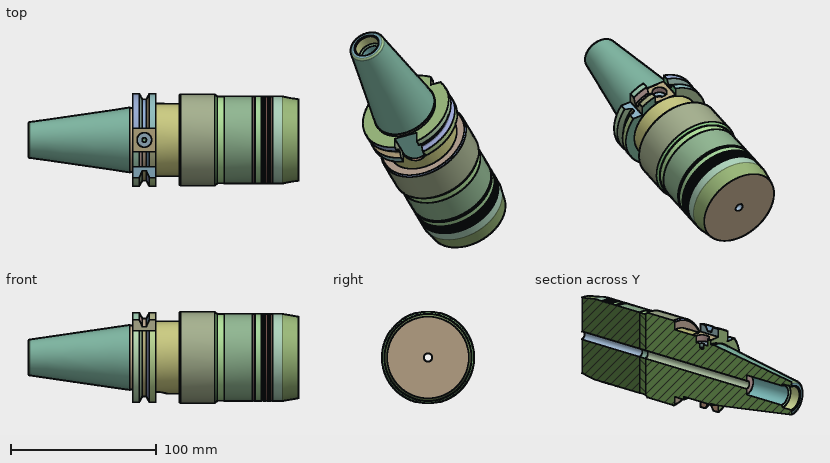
import cadquery as cq
import math


gauge_radius = 44.45 / 2
taper_slope = 7 / 48
taper_start = -68.4
taper_end = 1.0
relief_radius = 22.0
tip_round_radius = 1.3

flange_start = 3.2
flange_width = 15.9
flange_end = flange_start + flange_width
flange_radius = 63.55 / 2
groove_center = flange_start + flange_width / 2
groove_mouth_width = 7.0
groove_shoulder_width = 3.4
groove_floor_width = 2.8
groove_floor_radius = 56.1 / 2
groove_side_angle = 30.0

keyway_width = 16.1
upper_keyway_floor = 25.0
lower_keyway_floor = 22.8
corner_notch_offset = 18.5

chip_hole_diameter = 10.0
chip_hole_depth = 4.6
pilot_diameter = 3.0
pilot_depth = 3.0
drill_tip_angle = 118.0

neck_radius = 25.0
collar_start = 35.0
collar_radius = 31.5
collar_back_chamfer = 1.0
collar_end = 61.0
collar_front_chamfer_length = 1.7
collar_front_chamfer_depth = 1.5

sleeve_radius = 30.0
ring_radius = 29.85
ring_chamfer = 0.3
sleeve_start = 66.0
sleeve_nose_start = 105.7
sleeve_end = 117.0
sleeve_nose_angle = 10.0
band_starts = (85.3, 91.3, 94.2, 97.3)
band_width = 1.8
band_depth = 0.12
band_wall_length = 0.3

coolant_radius = 2.8
thread_bore_radius = 7.0
thread_bore_depth = 40.0
pilot_bore_radius = 8.5
pilot_bore_depth = 8.2
pilot_bore_chamfer = 0.6
bore_transition_angle = 60.0


def revolve_about_x(points):
    """Solid of revolution about X from (x, radius) points."""
    return cq.Workplane("XZ").polyline(points).close().revolve(360, (0, 0, 0), (1, 0, 0))


def taper_radius(x):
    return gauge_radius + taper_slope * x


def holder_blank():
    mouth_half = groove_mouth_width / 2
    shoulder_half = groove_shoulder_width / 2
    floor_half = groove_floor_width / 2
    side_depth = (mouth_half - shoulder_half) / math.tan(math.radians(groove_side_angle))
    shoulder_radius = flange_radius - side_depth
    blank = revolve_about_x([
        (taper_start, 0),
        (taper_start, taper_radius(taper_start)),
        (taper_end, taper_radius(taper_end)),
        (taper_end, relief_radius),
        (flange_start, relief_radius),
        (flange_start, flange_radius),
        (groove_center - mouth_half, flange_radius),
        (groove_center - shoulder_half, shoulder_radius),
        (groove_center - floor_half, groove_floor_radius),
        (groove_center + floor_half, groove_floor_radius),
        (groove_center + shoulder_half, shoulder_radius),
        (groove_center + mouth_half, flange_radius),
        (flange_end, flange_radius),
        (flange_end, neck_radius),
        (collar_start, neck_radius),
        (collar_start, collar_radius - collar_back_chamfer),
        (collar_start + collar_back_chamfer, collar_radius),
        (collar_end - collar_front_chamfer_length, collar_radius),
        (collar_end, collar_radius - collar_front_chamfer_depth),
        (collar_end, 0),
    ])
    return blank.faces("<X").edges().fillet(tip_round_radius)


def holder_bore():
    """Chamfered pilot bore, conical step, thread bore with a flat floor, coolant hole."""
    step_length = (pilot_bore_radius - thread_bore_radius) / math.tan(math.radians(bore_transition_angle))
    pilot_end = taper_start + pilot_bore_depth
    thread_end = taper_start + thread_bore_depth
    return revolve_about_x([
        (taper_start, 0),
        (taper_start, pilot_bore_radius + pilot_bore_chamfer),
        (taper_start + pilot_bore_chamfer, pilot_bore_radius),
        (pilot_end, pilot_bore_radius),
        (pilot_end + step_length, thread_bore_radius),
        (thread_end, thread_bore_radius),
        (thread_end, coolant_radius),
        (collar_end, coolant_radius),
        (collar_end, 0),
    ])


def keyway(floor, side):
    """Radial slot through the flange whose far end is a half circle centred on the flange end."""
    slot = (
        cq.Workplane("XY")
        .moveTo(flange_start, -keyway_width / 2)
        .lineTo(flange_end, -keyway_width / 2)
        .threePointArc((flange_end + keyway_width / 2, 0), (flange_end, keyway_width / 2))
        .lineTo(flange_start, keyway_width / 2)
        .close()
        .extrude(side * (flange_radius - floor))
    )
    return slot.translate((0, 0, side * floor))


def corner_notch():
    size = flange_radius - corner_notch_offset
    return cq.Workplane("XY").box(flange_width, size, size, centered=False).translate(
        (flange_start, -flange_radius, corner_notch_offset)
    )


def chip_hole():
    """Flat-bottomed hole in the upper keyway with a small drilled hole in its floor."""
    hole_floor = upper_keyway_floor - chip_hole_depth
    pilot_end = hole_floor - pilot_depth
    tip_length = pilot_diameter / 2 / math.tan(math.radians(drill_tip_angle / 2))
    return (
        cq.Workplane("XZ")
        .polyline([
            (0, upper_keyway_floor),
            (chip_hole_diameter / 2, upper_keyway_floor),
            (chip_hole_diameter / 2, hole_floor),
            (pilot_diameter / 2, hole_floor),
            (pilot_diameter / 2, pilot_end),
            (0, pilot_end - tip_length),
        ])
        .close()
        .revolve(360, (0, 0, 0), (0, 1, 0))
        .translate((groove_center, 0, 0))
    )


def make_holder():
    holder = holder_blank().cut(holder_bore())
    holder = holder.cut(keyway(upper_keyway_floor, 1)).cut(keyway(lower_keyway_floor, -1))
    return holder.cut(corner_notch()).cut(chip_hole())


def make_retaining_ring():
    return revolve_about_x([
        (collar_end, coolant_radius),
        (collar_end, ring_radius - ring_chamfer),
        (collar_end + ring_chamfer, ring_radius),
        (sleeve_start, ring_radius),
        (sleeve_start, coolant_radius),
    ])


def band_groove(start):
    """Shallow ring groove with sloped walls."""
    return revolve_about_x([
        (start, sleeve_radius),
        (start + band_wall_length, sleeve_radius - band_depth),
        (start + band_width - band_wall_length, sleeve_radius - band_depth),
        (start + band_width, sleeve_radius),
    ])


def make_clamping_sleeve():
    nose_drop = (sleeve_end - sleeve_nose_start) * math.tan(math.radians(sleeve_nose_angle))
    sleeve = revolve_about_x([
        (sleeve_start, coolant_radius),
        (sleeve_start, sleeve_radius),
        (sleeve_nose_start, sleeve_radius),
        (sleeve_end, sleeve_radius - nose_drop),
        (sleeve_end, coolant_radius),
    ])
    for start in band_starts:
        sleeve = sleeve.cut(band_groove(start))
    return sleeve


holder = make_holder()
retaining_ring = make_retaining_ring()
clamping_sleeve = make_clamping_sleeve()

result = cq.Compound.makeCompound([
    holder.val(),
    retaining_ring.val(),
    clamping_sleeve.val(),
])